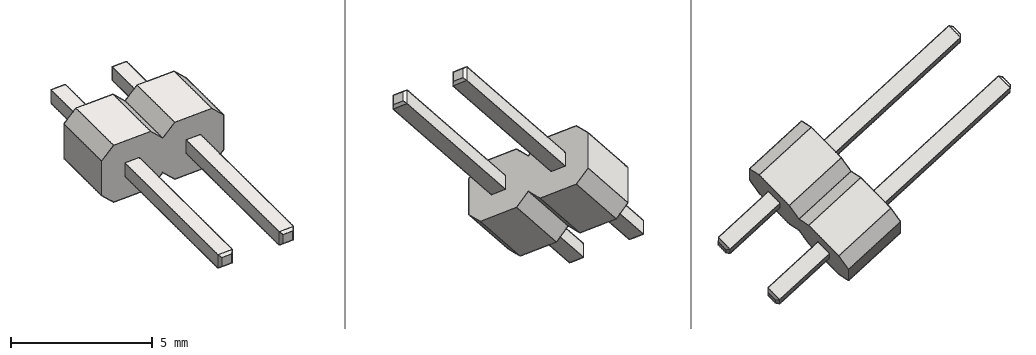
import cadquery as cq

pin_count = 2
pitch = 2.54
corner_cut = 0.5
pin_width = 0.6
pin_length = 11.44
tip_chamfer = 0.1

housing_start = -pitch / 2
pin_tail = pitch
pin_start = housing_start - pin_tail
row_centers = [(i - (pin_count - 1) / 2) * pitch for i in range(pin_count)]


def housing_cell(y_center):
    """Octagonal insulator block around one pin, extruded along X."""
    return (
        cq.Workplane("YZ", origin=(housing_start, y_center, 0))
        .rect(pitch, pitch)
        .extrude(pitch)
        .edges("|X")
        .chamfer(corner_cut)
    )


def pin(y_center):
    """Square pin along X with all edges of both end faces chamfered."""
    return (
        cq.Workplane("YZ", origin=(pin_start, y_center, 0))
        .rect(pin_width, pin_width)
        .extrude(pin_length)
        .faces("<X or >X")
        .chamfer(tip_chamfer)
    )


result = cq.Workplane("XY")
for row_center in row_centers:
    result = result.union(housing_cell(row_center)).union(pin(row_center))